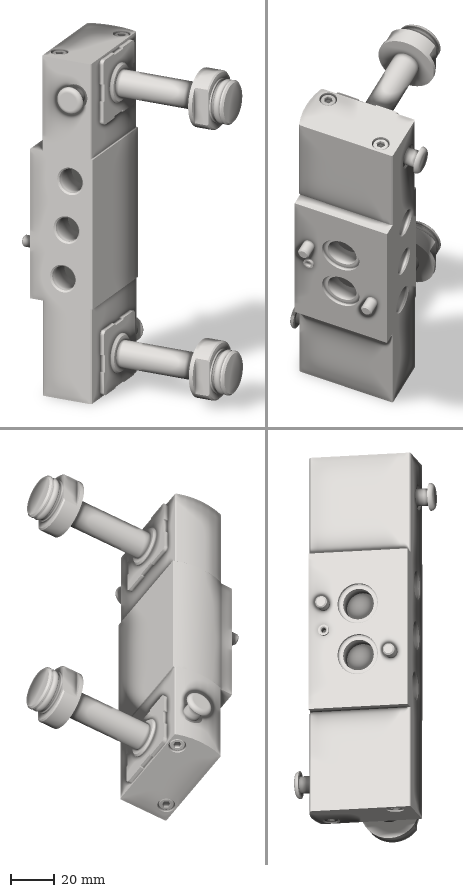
import cadquery as cq

TOTAL_HEIGHT = 168.0
BLOCK_HEIGHT = 74.0
BLOCK_WIDTH = 32.3
FRONT_Y = -25.0
BLOCK_BACK_Y = 21.8
PILOT_BACK_Y = 22.3
BACK_CROWN_Y = 24.5
BLOCK_BACK_FLAT = 5.9

FRONT_PORTS = [(20.7, 24.4), (18.8, 0.0), (17.0, -24.4)]
FRONT_PORT_DIA = 12.0
FRONT_PORT_MOUTH_DIA = 13.5
FRONT_PORT_DEPTH = 13.5

PORT_Y = -1.5
PORT_Z = 12.1
SIDE_PORT_DIA = 14.5
SIDE_PORT_DEPTH = 10.0
SIDE_COUNTERBORE_DIA = 19.0
SIDE_COUNTERBORE_DEPTH = 1.7
PIN_OFFSET_Y = 16.0
MOUNT_PIN_DIA = 5.5
MOUNT_PIN_LENGTH = 6.9
MOUNT_PIN_CHAMFER = 0.7

CODING_PIN_DIA = 5.0
CODING_PIN_BORE = 2.4
CODING_PIN_CHAMFER = 0.5
CODING_PIN_PROUD = 1.2
CODING_PIN_SEAT = 3.4

PILOT_WIDTH = 25.2
PILOT_HEIGHT = (TOTAL_HEIGHT - BLOCK_HEIGHT) / 2
UPPER_PILOT_X = 6.0
LOWER_PILOT_X = 6.4
PILOT_EDGE_CHAMFER = 0.5
TUBE_Z = 29.9

SEAT_SIDE = 32.0
SEAT_THICKNESS = 2.0
SEAT_CORNER_RADIUS = 1.8
SEAT_NOTCH_WIDTH = 8.5
SEAT_NOTCH_DEPTH = 0.8
COLLAR_DIA = 19.0
COLLAR_LENGTH = 1.5
COLLAR_CHAMFER = 0.8
TUBE_DIA = 13.0
NUT_START = 69.9
NUT_LENGTH = 9.0
NUT_DIA = 28.0
NUT_FLATS = 21.8
NUT_FLANGE = 2.0
NUT_CHAMFER = 0.7
END_DIA = 21.0
END_LENGTH = 7.0
END_CHAMFER = 0.8
GROOVE_DIA = 19.0
GROOVE_START = 0.7
GROOVE_END = 5.4
RING_START = 1.5
RING_END = 4.9

BUTTON_X = 17.5
BUTTON_TIP_Y = 32.8
BUTTON_HEAD_DIA = 13.0
BUTTON_HEAD_THICKNESS = 2.2
BUTTON_ROUND = 2.0
BUTTON_STEM_DIA = 8.0
BUTTON_RECESS_DIA = 12.0
BUTTON_RECESS_FLOOR_Y = 23.7
BUTTON_STEM_ROOT_Y = 21.8

SCREWS = [(20.3, 16.8), (5.0, -16.8)]
SCREW_HOLE_DIA = 8.2
SCREW_HEAD_DIA = 7.0
SCREW_HOLE_DEPTH = 3.0
SCREW_HEAD_BELOW = 0.5
SCREW_SOCKET_CORNERS = 4.2
SCREW_SOCKET_DEPTH = 2.0
SCREW_HEAD_CHAMFER = 0.3


def x_cylinder(diameter, start, end, y=0.0, z=0.0):
    """Cylinder along x between two x positions."""
    return cq.Workplane("YZ", origin=(start, y, z)).circle(diameter / 2).extrude(end - start)


def y_cylinder(diameter, start, end, x, z):
    """Cylinder along y between two y positions."""
    return cq.Workplane("XZ", origin=(x, start, z)).circle(diameter / 2).extrude(start - end)


def block_blank():
    crown_x = (BLOCK_BACK_FLAT + BLOCK_WIDTH) / 2
    return (
        cq.Workplane("XY", origin=(0, 0, -BLOCK_HEIGHT / 2))
        .moveTo(0, FRONT_Y)
        .lineTo(BLOCK_WIDTH, FRONT_Y)
        .lineTo(BLOCK_WIDTH, BLOCK_BACK_Y)
        .threePointArc((crown_x, BACK_CROWN_Y), (BLOCK_BACK_FLAT, BLOCK_BACK_Y))
        .lineTo(0, BLOCK_BACK_Y)
        .close()
        .extrude(BLOCK_HEIGHT)
    )


def front_port(x, z):
    """Blind port with a 45-degree countersunk mouth in the front side."""
    bore_radius = FRONT_PORT_DIA / 2
    mouth_radius = FRONT_PORT_MOUTH_DIA / 2
    profile = (
        cq.Workplane("XY")
        .moveTo(0, 0)
        .lineTo(mouth_radius, 0)
        .lineTo(bore_radius, mouth_radius - bore_radius)
        .lineTo(bore_radius, FRONT_PORT_DEPTH)
        .lineTo(0, FRONT_PORT_DEPTH)
        .close()
    )
    return profile.revolve(360, (0, 0, 0), (0, 1, 0)).translate((x, FRONT_Y, z))


def side_port(z):
    """Counterbored blind port in the left side."""
    bore = x_cylinder(SIDE_PORT_DIA, 0, SIDE_PORT_DEPTH, PORT_Y, z)
    return bore.union(x_cylinder(SIDE_COUNTERBORE_DIA, 0, SIDE_COUNTERBORE_DEPTH, PORT_Y, z))


def mount_pin(y, z):
    """Chamfered pin standing out of the left side."""
    return x_cylinder(MOUNT_PIN_DIA, -MOUNT_PIN_LENGTH, 0, y, z).faces("<X").chamfer(MOUNT_PIN_CHAMFER)


def make_block():
    block = block_blank()
    for x, z in FRONT_PORTS:
        block = block.cut(front_port(x, z))
    for side in (1, -1):
        block = block.cut(side_port(side * PORT_Z))
        block = block.union(mount_pin(PORT_Y + side * PIN_OFFSET_Y, side * PORT_Z))
    return block.cut(x_cylinder(CODING_PIN_DIA, 0, CODING_PIN_SEAT, PORT_Y + PIN_OFFSET_Y))


def make_coding_pin():
    y = PORT_Y + PIN_OFFSET_Y
    pin = x_cylinder(CODING_PIN_DIA, -CODING_PIN_PROUD, CODING_PIN_SEAT, y)
    pin = pin.cut(x_cylinder(CODING_PIN_BORE, -CODING_PIN_PROUD, CODING_PIN_SEAT, y))
    return pin.faces("<X").edges(cq.selectors.RadiusNthSelector(0)).chamfer(CODING_PIN_CHAMFER)


def pilot_housing():
    return (
        cq.Workplane("XY")
        .moveTo(0, FRONT_Y)
        .lineTo(PILOT_WIDTH, FRONT_Y)
        .lineTo(PILOT_WIDTH, PILOT_BACK_Y)
        .threePointArc((PILOT_WIDTH / 2, BACK_CROWN_Y), (0, PILOT_BACK_Y))
        .close()
        .extrude(PILOT_HEIGHT)
        .edges("|Z")
        .chamfer(PILOT_EDGE_CHAMFER)
    )


def tube_seat():
    """Square seat plate with a notch in the middle of each side, collar and plain tube."""
    collar_start = PILOT_WIDTH + SEAT_THICKNESS
    collar_end = collar_start + COLLAR_LENGTH
    plate = (
        cq.Workplane("YZ", origin=(PILOT_WIDTH, 0, TUBE_Z))
        .rect(SEAT_SIDE, SEAT_SIDE)
        .extrude(SEAT_THICKNESS)
        .edges("|X")
        .fillet(SEAT_CORNER_RADIUS)
    )
    notch = cq.Workplane("YZ", origin=(PILOT_WIDTH, 0, TUBE_Z)).center(0, SEAT_SIDE / 2)
    notch = notch.rect(SEAT_NOTCH_WIDTH, 2 * SEAT_NOTCH_DEPTH).extrude(SEAT_THICKNESS)
    for quarter in range(4):
        plate = plate.cut(notch.rotate((0, 0, TUBE_Z), (1, 0, TUBE_Z), 90 * quarter))
    collar = x_cylinder(COLLAR_DIA, collar_start, collar_end, z=TUBE_Z).faces(">X").chamfer(COLLAR_CHAMFER)
    return plate.union(collar).union(x_cylinder(TUBE_DIA, collar_end, NUT_START, z=TUBE_Z))


def tube_nut():
    """Round nut with a flange and two flats that face front and back."""
    flats_length = NUT_LENGTH - NUT_FLANGE
    nut = x_cylinder(NUT_DIA, NUT_START, NUT_START + NUT_LENGTH, z=TUBE_Z).faces(">X").chamfer(NUT_CHAMFER)
    for side in (1, -1):
        cutter = cq.Workplane("XY").box(flats_length, NUT_DIA, NUT_DIA, centered=(False, True, True))
        cut_y = side * (NUT_FLATS + NUT_DIA) / 2
        nut = nut.cut(cutter.translate((NUT_START + NUT_FLANGE, cut_y, TUBE_Z)))
    return nut


def tube_end():
    """Turned end piece with a groove that holds a rounded sealing ring."""
    outer = END_DIA / 2
    floor = GROOVE_DIA / 2
    profile = (
        cq.Workplane("XY")
        .moveTo(0, 0)
        .lineTo(0, outer)
        .lineTo(GROOVE_START, outer)
        .lineTo(GROOVE_START, floor)
        .lineTo(RING_START, floor)
        .threePointArc(((RING_START + RING_END) / 2, outer), (RING_END, floor))
        .lineTo(GROOVE_END, floor)
        .lineTo(GROOVE_END, outer)
        .lineTo(END_LENGTH - END_CHAMFER, outer)
        .lineTo(END_LENGTH, outer - END_CHAMFER)
        .lineTo(END_LENGTH, 0)
        .close()
    )
    return profile.revolve(360, (0, 0, 0), (1, 0, 0)).translate((NUT_START + NUT_LENGTH, 0, TUBE_Z))


def add_button(pilot, side):
    """Mushroom button in a round recess, on the front (side -1) or back (side 1)."""
    tip = side * BUTTON_TIP_Y
    head_base = side * (BUTTON_TIP_Y - BUTTON_HEAD_THICKNESS)
    floor = side * BUTTON_RECESS_FLOOR_Y
    root = side * BUTTON_STEM_ROOT_Y
    head = y_cylinder(BUTTON_HEAD_DIA, head_base, tip, BUTTON_X, TUBE_Z)
    head = head.faces(">Y" if side > 0 else "<Y").edges().fillet(BUTTON_ROUND)
    stem = y_cylinder(BUTTON_STEM_DIA, root, head_base, BUTTON_X, TUBE_Z)
    recess = y_cylinder(BUTTON_RECESS_DIA, floor, tip, BUTTON_X, TUBE_Z)
    return pilot.cut(recess).union(stem).union(head)


def add_screw(pilot, x, y):
    """Sunk socket-head screw in the pilot's outer end."""
    hole_floor = PILOT_HEIGHT - SCREW_HOLE_DEPTH
    head_height = SCREW_HOLE_DEPTH - SCREW_HEAD_BELOW
    hole = cq.Workplane("XY", origin=(x, y, hole_floor)).circle(SCREW_HOLE_DIA / 2).extrude(SCREW_HOLE_DEPTH)
    head = cq.Workplane("XY", origin=(x, y, hole_floor)).circle(SCREW_HEAD_DIA / 2).extrude(head_height)
    socket = (
        cq.Workplane("XY", origin=(x, y, hole_floor + head_height))
        .transformed(rotate=(0, 0, 90))
        .polygon(6, SCREW_SOCKET_CORNERS)
        .extrude(-SCREW_SOCKET_DEPTH)
    )
    head = head.faces(">Z").chamfer(SCREW_HEAD_CHAMFER)
    return pilot.cut(hole).union(head.cut(socket))


def make_pilot(button_side):
    pilot = pilot_housing().union(tube_seat()).union(tube_nut()).union(tube_end())
    pilot = add_button(pilot, button_side)
    for x, y in SCREWS:
        pilot = add_screw(pilot, x, y)
    return pilot


block = make_block()
coding_pin = make_coding_pin()
upper_pilot = make_pilot(-1).translate((UPPER_PILOT_X, 0, BLOCK_HEIGHT / 2))
lower_pilot = make_pilot(1).mirror("XY").translate((LOWER_PILOT_X, 0, -BLOCK_HEIGHT / 2))

result = cq.Compound.makeCompound([block.val(), coding_pin.val(), upper_pilot.val(), lower_pilot.val()])